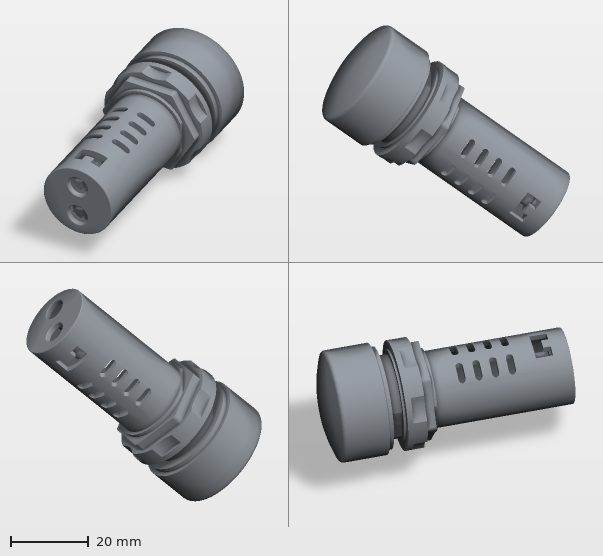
import cadquery as cq
import math


total_length = 65.0
cap_rear_y = 50.05
flange_rear_y = 48.7
lip_front_y = 45.75
collar_front_y = 45.15
collar_rear_y = 40.0
hex_rear_y = 37.5
thread_rear_y = 36.45

cap_radius = 14.65
cap_edge_fillet = 1.0
dome_radius = 37.55
flange_radius = 13.45
lip_radius = 12.3
collar_radius = 14.4
thread_radius = 10.95
thread_half_flats = 9.95
tube_radius = 10.0
tube_end_fillet = 0.25

hex_half_flats = 11.8
hex_corner_fillet = 1.2

recess_count = 6
recess_front_y = 43.6
recess_floor_radius = 13.25
recess_arc_radius = 8.45

wall = 1.55
end_wall = 1.4
cavity_radius = tube_radius - wall

slot_rows = 4
slot_first_y = 15.65
slot_pitch = 4.4
slot_length = 5.0
slot_width = 1.9
slot_center_x = 3.95

window_width = 7.7
window_rear_y = 4.55
window_front_y = 9.0
tab_width = 2.55
tab_front_y = 6.5

screw_offset = 4.5
access_hole_radius = 2.85
access_hole_chamfer = 0.2
head_radius = 3.05
head_rear_y = 2.9
upper_head_front_y = 4.95
lower_head_front_y = 5.3
shank_radius = 1.7
shank_front_y = 10.0
cross_width = 1.0
cross_short_length = 4.55
cross_depth = 1.0


def disc(radius, rear_y, front_y, z=0.0):
    """Cylinder along Y between two stations, centred on X = 0."""
    axis_start = cq.Vector(0, rear_y, z)
    return cq.Workplane(cq.Solid.makeCylinder(radius, front_y - rear_y, axis_start, cq.Vector(0, 1, 0)))


def block(size_x, rear_y, front_y, size_z, z=0.0):
    """Box centred on X = 0 between two stations."""
    middle_y = (rear_y + front_y) / 2
    return cq.Workplane("XY").box(size_x, front_y - rear_y, size_z).translate((0, middle_y, z))


def make_cap():
    """Lens cap: cylinder closed by a spherical dome, with a rounded rim."""
    dome_center_y = total_length - dome_radius
    sphere = cq.Workplane("XZ").sphere(dome_radius).translate((0, dome_center_y, 0))
    cap = disc(cap_radius, cap_rear_y, total_length).intersect(sphere)
    rim_y = dome_center_y + math.sqrt(dome_radius**2 - cap_radius**2)
    return cap.edges(cq.NearestToPointSelector((0, rim_y, 0))).fillet(cap_edge_fillet)


def make_thread():
    """Round thread with a flat on its -X and +X sides."""
    thread = disc(thread_radius, thread_rear_y, flange_rear_y)
    flats = block(2 * thread_half_flats, thread_rear_y, flange_rear_y, 2 * thread_radius)
    return thread.intersect(flats)


def make_nut():
    """Hexagon, lip and collar with its grip recesses."""
    corner_diameter = 2 * hex_half_flats / math.cos(math.pi / 6)
    hexagon = (
        cq.Workplane("XZ", origin=(0, collar_rear_y, 0))
        .polygon(6, corner_diameter)
        .extrude(collar_rear_y - hex_rear_y)
        .edges("|Y")
        .fillet(hex_corner_fillet)
    )
    collar = disc(collar_radius, collar_rear_y, collar_front_y)
    recess = disc(recess_arc_radius, collar_rear_y, recess_front_y, z=recess_floor_radius + recess_arc_radius)
    for i in range(recess_count):
        collar = collar.cut(recess.rotate((0, 0, 0), (0, 1, 0), i * 360 / recess_count))
    lip = disc(lip_radius, collar_front_y, lip_front_y)
    return hexagon.union(collar).union(lip)


def make_slots():
    """Rows of slots cut right through the tube along Z, two slots to a row."""
    middle_y = slot_first_y + (slot_rows - 1) * slot_pitch / 2
    return (
        cq.Workplane("XY", origin=(0, middle_y, 0))
        .rarray(2 * slot_center_x, slot_pitch, 2, slot_rows)
        .slot2D(slot_length, slot_width)
        .extrude(tube_radius, both=True)
    )


def make_windows():
    """Openings through both sides of the tube, notched by a tab in the middle of the rear edge."""
    opening = block(window_width, window_rear_y, window_front_y, 2 * tube_radius)
    tab = block(tab_width, window_rear_y, tab_front_y, 2 * tube_radius)
    return opening.cut(tab)


def make_access_hole(z):
    """Hole through the end wall in front of a screw, chamfered at its outer rim."""
    rim_radius = access_hole_radius + access_hole_chamfer
    rim = cq.Solid.makeCone(
        rim_radius, access_hole_radius, access_hole_chamfer, cq.Vector(0, 0, z), cq.Vector(0, 1, 0)
    )
    return disc(access_hole_radius, 0, end_wall, z=z).union(cq.Workplane(rim))


def make_housing():
    """Tube, thread, nut, flange and cap in one piece, hollow from the end wall to the flange."""
    tube = disc(tube_radius, 0, flange_rear_y).faces("<Y").edges().fillet(tube_end_fillet)
    flange = disc(flange_radius, flange_rear_y, cap_rear_y)
    housing = tube.union(make_thread()).union(make_nut()).union(flange).union(make_cap())
    housing = housing.cut(disc(cavity_radius, end_wall, flange_rear_y))
    housing = housing.cut(make_slots()).cut(make_windows())
    for z in (-screw_offset, screw_offset):
        housing = housing.cut(make_access_hole(z))
    return housing


def make_screw(z, head_front_y):
    """Terminal screw: round head with a crossed slot, and a plain shank."""
    head = disc(head_radius, head_rear_y, head_front_y, z=z)
    shank = disc(shank_radius, head_front_y, shank_front_y, z=z)
    cross_floor_y = head_rear_y + cross_depth
    long_slot = block(cross_width, head_rear_y, cross_floor_y, 2 * head_radius, z)
    short_slot = block(cross_short_length, head_rear_y, cross_floor_y, cross_width, z)
    return head.union(shank).cut(long_slot).cut(short_slot)


housing = make_housing()

screw_places = [(screw_offset, upper_head_front_y), (-screw_offset, lower_head_front_y)]
screws = [make_screw(z, head_front_y) for z, head_front_y in screw_places]

result = cq.Compound.makeCompound([housing.val(), *[screw.val() for screw in screws]])